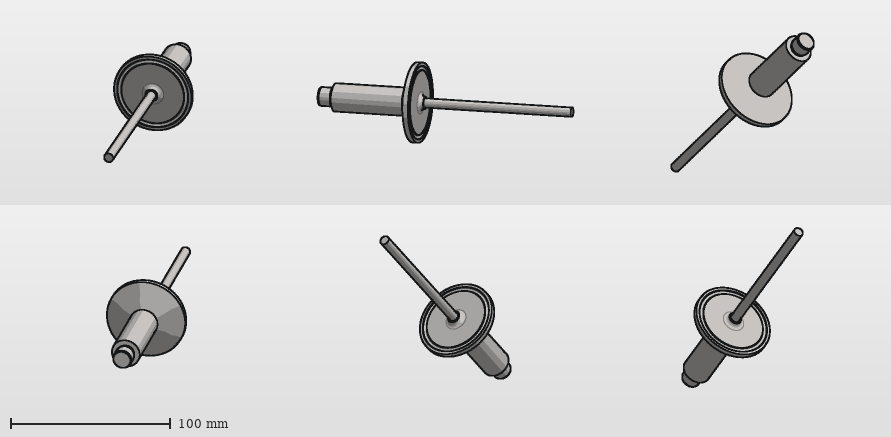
import cadquery as cq
import math

total_length = 166.0
plug_end = 66.0
rod_end = plug_end - total_length

flange_radius = 25.2
rim_thickness = 3.5
taper_angle = 20.0

body_radius = 9.0
body_end = 56.1
plug_radius = 6.0
plug_chamfer_length = 1.0
plug_chamfer_depth = 0.5
neck_radius = plug_radius - plug_chamfer_depth
neck_length = 1.3
neck_taper_length = 0.5

rod_radius = 3.0
collar_radius = 4.0
collar_fillet = 3.0

groove_radius = 21.7
groove_width = 3.0
groove_depth = 1.2
groove_lip_width = 0.3
groove_lip_depth = 0.3


def make_revolved_body():
    """Revolve the stepped half profile (radius, Y) about the Y axis."""
    taper_end = rim_thickness + (flange_radius - body_radius) * math.tan(math.radians(taper_angle))
    neck_end = body_end + neck_length
    collar_mid_offset = collar_fillet * (1 - math.sqrt(0.5))
    profile = (
        cq.Workplane("XY")
        .moveTo(0, rod_end)
        .lineTo(rod_radius, rod_end)
        .lineTo(rod_radius, -collar_fillet)
        .lineTo(collar_radius, -collar_fillet)
        .threePointArc(
            (collar_radius + collar_mid_offset, -collar_mid_offset),
            (collar_radius + collar_fillet, 0),
        )
        .lineTo(flange_radius, 0)
        .lineTo(flange_radius, rim_thickness)
        .lineTo(body_radius, taper_end)
        .lineTo(body_radius, body_end)
        .lineTo(neck_radius, body_end)
        .lineTo(neck_radius, neck_end)
        .lineTo(plug_radius, neck_end + neck_taper_length)
        .lineTo(plug_radius, plug_end - plug_chamfer_length)
        .lineTo(plug_radius - plug_chamfer_depth, plug_end)
        .lineTo(0, plug_end)
        .close()
    )
    return profile.revolve(360, (0, 0, 0), (0, 1, 0))


def make_gasket_groove():
    """Ring with a round bottom and bevelled lips, to be cut from the sealing face."""
    half_width = groove_width / 2
    half_arc_width = half_width - groove_lip_width
    section = (
        cq.Workplane("XY")
        .moveTo(groove_radius - half_width, 0)
        .lineTo(groove_radius - half_arc_width, groove_lip_depth)
        .threePointArc(
            (groove_radius, groove_depth),
            (groove_radius + half_arc_width, groove_lip_depth),
        )
        .lineTo(groove_radius + half_width, 0)
        .close()
    )
    return section.revolve(360, (0, 0, 0), (0, 1, 0))


result = make_revolved_body().cut(make_gasket_groove())